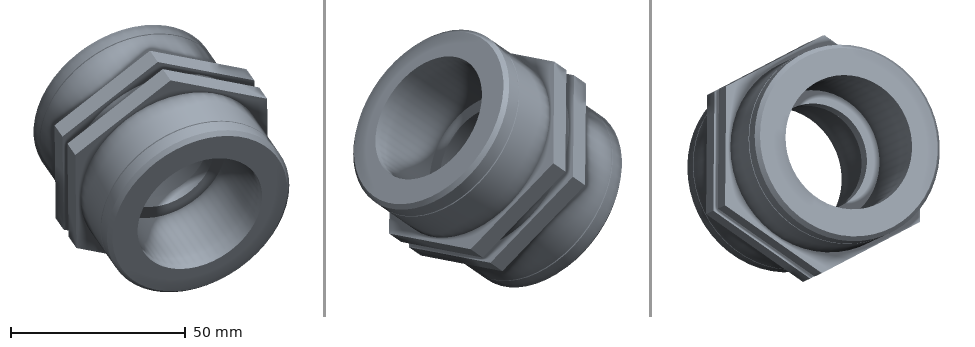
import cadquery as cq

length = 54.0
body_diameter = 57.0
bore_diameter = 31.2
socket_diameter = 38.95
socket_depth = 24.95
end_chamfer = 1.2

hex_across_corners = 69.3
hex_thickness = 5.55
hex_gap = 3.45
hex_tilt = 0.6

groove_offset = 5.4
groove_width = 0.4
groove_depth = 0.4


def cylinder(diameter, start, span):
    """Solid cylinder along X, beginning at x = start."""
    return cq.Workplane("YZ", origin=(start, 0, 0)).circle(diameter / 2).extrude(span)


def hex_collar(start):
    """Hexagonal plate with a corner near +Z, tilted slightly about X."""
    plate = cq.Workplane("YZ", origin=(start, 0, 0)).polygon(6, hex_across_corners).extrude(hex_thickness)
    return plate.rotate((0, 0, 0), (1, 0, 0), 90 + hex_tilt)


def groove_ring(start):
    """Ring of V-shaped section to be cut from the outside of the body."""
    radius = body_diameter / 2
    section = cq.Workplane("XY").polyline([
        (start, radius),
        (start + groove_width / 2, radius - groove_depth),
        (start + groove_width, radius),
    ]).close()
    return section.revolve(360, (0, 0, 0), (1, 0, 0))


end_x = length / 2
body = cylinder(body_diameter, -end_x, length).faces("<X or >X").chamfer(end_chamfer)

for collar_start in (-hex_gap / 2 - hex_thickness, hex_gap / 2):
    body = body.union(hex_collar(collar_start))

for groove_start in (-end_x + groove_offset, end_x - groove_offset - groove_width):
    body = body.cut(groove_ring(groove_start))

body = body.cut(cylinder(bore_diameter, -end_x, length))
for socket_start in (-end_x, end_x - socket_depth):
    body = body.cut(cylinder(socket_diameter, socket_start, socket_depth))

result = body